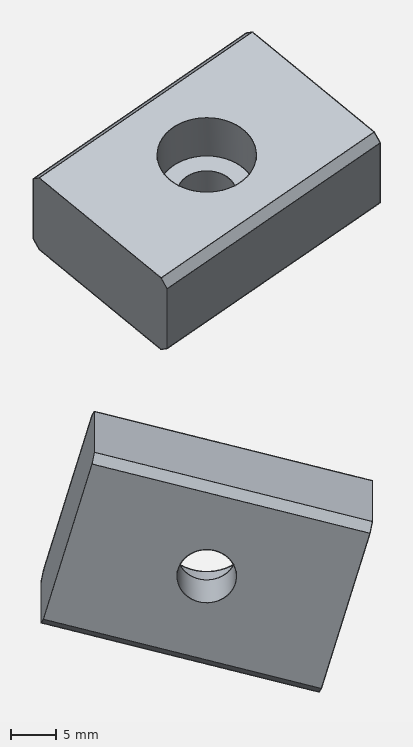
import cadquery as cq

width = 22.0
length = 32.0
height = 12.0
edge_chamfer = 1.0

hole_diameter = 6.6
counterbore_diameter = 11.0
counterbore_depth = 6.4

block = cq.Workplane("XY").box(width, length, height).edges("|Y").chamfer(edge_chamfer)

result = (
    block.faces(">Z")
    .workplane(centerOption="CenterOfBoundBox")
    .cboreHole(hole_diameter, counterbore_diameter, counterbore_depth)
)